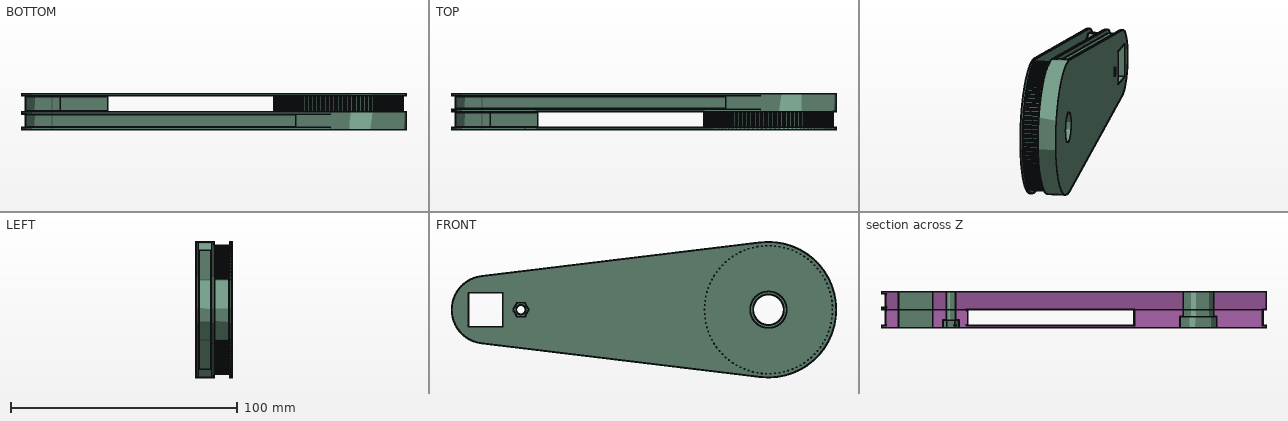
import cadquery as cq
import math

LENGTH = 170.0
BIG_RADIUS = 60.0 / 2
SMALL_RADIUS = BIG_RADIUS / 2
BIG_X = LENGTH / 2 - BIG_RADIUS
SMALL_X = SMALL_RADIUS - LENGTH / 2
LEAN = math.asin((BIG_RADIUS - SMALL_RADIUS) / (BIG_X - SMALL_X))

THICKNESS = 16.0
PLATE = 1.0
FRONT_Y = -THICKNESS / 2
SPLIT_Y = 0.0
BACK_Y = THICKNESS / 2

SPACER_INSET = 1.7
SPACER_CHAMFER = 0.42
FRONT_SPACER_SHOULDER_X = -68.0
FRONT_SPACER_TIP_X = -46.9
BACK_SPACER_END_X = 36.0

TOOTH_COUNT = 90
WHEEL_RADIUS = 28.5
GROOVE_DEPTH = 0.3
GROOVE_WIDTH = 1.1
SEAT_CLEARANCE = 0.07
ROOT_RADIUS = WHEEL_RADIUS - GROOVE_DEPTH
SEAT_RADIUS = ROOT_RADIUS + SEAT_CLEARANCE

SQUARE_SIDE = 15.0
BOLT_X = -54.4
BOLT_DIAMETER = 4.0
NUT_CORNER_DIAMETER = 7.0
NUT_DEPTH = 3.4
BEARING_DIAMETER = 16.1
BEARING_DEPTH = 5.0
BORE_DIAMETER = 13.5


def sketch(x=0.0):
    """An empty sketch in the XZ plane, centred at the given X."""
    return cq.Workplane("XZ").center(x, 0)


def slab(outline, y_start, y_end):
    """Extrude an XZ outline between two Y positions."""
    return outline.extrude(y_start - y_end).translate((0, y_start, 0))


def disc(x, diameter, y_start, y_end):
    return slab(sketch(x).circle(diameter / 2), y_start, y_end)


def tangent_point(centre_x, radius):
    """Point where the upper flank touches an end circle."""
    return centre_x - radius * math.sin(LEAN), radius * math.cos(LEAN)


def plate(y_start):
    """One full arm-shaped plate."""
    small_x, small_z = tangent_point(SMALL_X, SMALL_RADIUS)
    big_x, big_z = tangent_point(BIG_X, BIG_RADIUS)
    outline = (
        sketch()
        .moveTo(small_x, small_z)
        .lineTo(big_x, big_z)
        .threePointArc((BIG_X + BIG_RADIUS, 0), (big_x, -big_z))
        .lineTo(small_x, -small_z)
        .threePointArc((SMALL_X - SMALL_RADIUS, 0), (small_x, small_z))
        .close()
    )
    return slab(outline, y_start, y_start + PLATE)


def spacer(shoulder_x, end_x, y_start, y_end):
    """Inset spacer: parallel to the arm outline up to the shoulder, then straight to the axis at end_x."""
    radius = SMALL_RADIUS - SPACER_INSET
    start_x, start_z = tangent_point(SMALL_X, radius)
    shoulder_z = start_z + (shoulder_x - start_x) * math.tan(LEAN)
    outline = (
        sketch()
        .moveTo(start_x, start_z)
        .lineTo(shoulder_x, shoulder_z)
        .lineTo(end_x, 0)
        .lineTo(shoulder_x, -shoulder_z)
        .lineTo(start_x, -start_z)
        .threePointArc((SMALL_X - radius, 0), (start_x, start_z))
        .close()
    )
    return slab(outline, y_start, y_end).faces("<Y or >Y").edges().chamfer(SPACER_CHAMFER)


def wheel():
    """Wheel with V grooves around its rim, the first one on the +X side."""
    pitch = 2 * math.pi / TOOTH_COUNT
    half_groove = GROOVE_WIDTH / 2 / WHEEL_RADIUS

    def polar(radius, angle):
        return radius * math.cos(angle), radius * math.sin(angle)

    profile = sketch(BIG_X).moveTo(*polar(WHEEL_RADIUS, -half_groove))
    for tooth in range(TOOTH_COUNT):
        groove = tooth * pitch
        land_start = polar(WHEEL_RADIUS, groove + half_groove)
        land_middle = polar(WHEEL_RADIUS, groove + pitch / 2)
        land_end = polar(WHEEL_RADIUS, groove + pitch - half_groove)
        profile = (
            profile.lineTo(*polar(ROOT_RADIUS, groove))
            .lineTo(*land_start)
            .threePointArc(land_middle, land_end)
        )
    return slab(profile.close(), FRONT_Y, SPLIT_Y)


def cut_shared_holes(body):
    """Holes that run through both bodies: square, bolt hole and bore."""
    square = sketch(SMALL_X).rect(SQUARE_SIDE, SQUARE_SIDE)
    return (
        body.cut(slab(square, FRONT_Y, BACK_Y))
        .cut(disc(BOLT_X, BOLT_DIAMETER, FRONT_Y, BACK_Y))
        .cut(disc(BIG_X, BORE_DIAMETER, FRONT_Y, BACK_Y))
    )


def make_wheel_half():
    """Front body: plate, spacer and a toothed wheel that is flush with the front of the plate."""
    seat = disc(BIG_X, 2 * SEAT_RADIUS, FRONT_Y, FRONT_Y + PLATE)
    body = plate(FRONT_Y).cut(seat).union(wheel())
    body = body.union(spacer(FRONT_SPACER_SHOULDER_X, FRONT_SPACER_TIP_X, FRONT_Y + PLATE, SPLIT_Y))
    body = cut_shared_holes(body)
    nut = sketch(BOLT_X).polygon(6, NUT_CORNER_DIAMETER)
    body = body.cut(slab(nut, FRONT_Y, FRONT_Y + NUT_DEPTH))
    return body.cut(disc(BIG_X, BEARING_DIAMETER, FRONT_Y, FRONT_Y + BEARING_DEPTH))


def make_back_half():
    """Back body: two plates joined by a spacer and a full disc at the big end."""
    core_start = SPLIT_Y + PLATE
    core_end = BACK_Y - PLATE
    core = spacer(BACK_SPACER_END_X, BACK_SPACER_END_X, core_start, core_end)
    core = core.union(disc(BIG_X, 2 * BIG_RADIUS, core_start, core_end))
    body = plate(SPLIT_Y).union(core).union(plate(core_end))
    return cut_shared_holes(body)


wheel_half = make_wheel_half()
back_half = make_back_half()
result = cq.Compound.makeCompound([wheel_half.val(), back_half.val()])